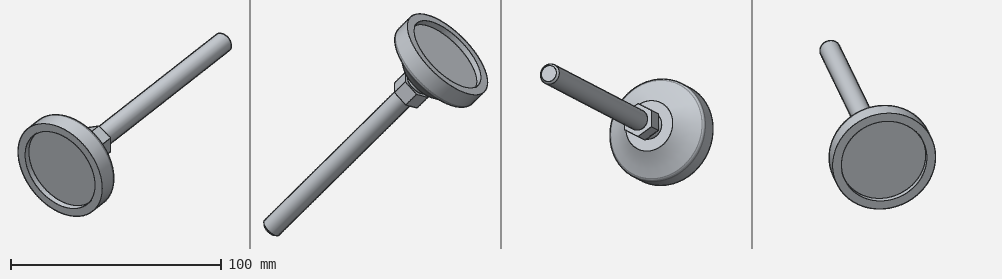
import cadquery as cq
import math

total_length = 131.0

foot_diameter = 50.0
rim_height = 8.8
shoulder_radius = 1.8
shoulder_turn = math.radians(63)
foot_height = 18.3
foot_top_radius = 12.3
recess_diameter = 41.5
recess_depth = 3.0

ball_radius = 7.3
ball_depth = 3.3
neck_diameter = 11.0
hex_start = 22.9
hex_length = 8.0
hex_across_flats = 14.0
shaft_diameter = 10.0
tip_chamfer = 1.0


def shoulder_point(angle):
    """Radius and height on the rounded shoulder after turning by angle."""
    radius = foot_diameter / 2 - shoulder_radius * (1 - math.cos(angle))
    height = rim_height + shoulder_radius * math.sin(angle)
    return (radius, height)


def make_foot():
    """Disc with a rounded shoulder, a concave flank tangent to it, and a shallow recess in its sole."""
    shoulder_end = shoulder_point(shoulder_turn)
    foot_top = (foot_top_radius, foot_height)
    profile = (
        cq.Workplane("XY")
        .lineTo(foot_diameter / 2, 0)
        .lineTo(foot_diameter / 2, rim_height)
        .threePointArc(shoulder_point(shoulder_turn / 2), shoulder_end)
        .tangentArcPoint(foot_top, relative=False)
        .lineTo(0, foot_height)
        .close()
    )
    return profile.revolve(360, (0, 0), (0, 1)).cut(cylinder(recess_diameter, 0, recess_depth))


def cylinder(diameter, start, end):
    """Cylinder on the Y axis between two heights."""
    return cq.Workplane("XZ", origin=(0, start, 0)).circle(diameter / 2).extrude(start - end)


def make_ball():
    """Ball joint whose crown shows between the foot and the neck."""
    return cq.Workplane("XY", origin=(0, foot_height - ball_depth, 0)).sphere(ball_radius)


def make_hex():
    """Hexagon with two of its corners on the Z axis."""
    across_corners = hex_across_flats / math.cos(math.radians(30))
    return (
        cq.Workplane("XZ", origin=(0, hex_start, 0))
        .transformed(rotate=(0, 0, 90))
        .polygon(6, across_corners)
        .extrude(-hex_length)
    )


def make_shaft():
    """Plain shaft with a chamfered tip."""
    shaft = cylinder(shaft_diameter, hex_start + hex_length, total_length)
    return shaft.faces(">Y").chamfer(tip_chamfer)


neck = cylinder(neck_diameter, foot_height, hex_start)
result = make_foot().union(make_ball()).union(neck).union(make_hex()).union(make_shaft())